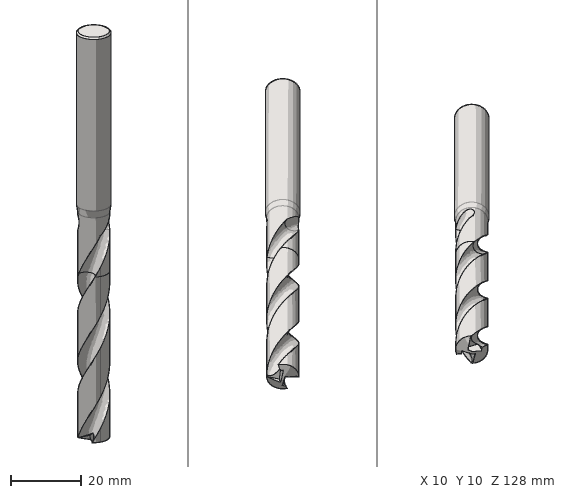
import cadquery as cq
import math

TOTAL_LENGTH = 128.0
SHANK_DIAMETER = 10.0
DRILL_DIAMETER = 9.2
SHANK_CHAMFER = 0.5
SHANK_BOTTOM_Z = 74.1
TAPER_BOTTOM_Z = 71.8
JOINT_Z = 53.4
HELIX_TOP_Z = 66.0
POINT_HEIGHT = 1.8

FLUTE_COUNT = 2
HELIX_ANGLE = 30.0
FLUTE_WIDTH_ANGLE = 70.0
JOINT_FLUTE_ANGLE = -56.0
WEB_RADIUS = 1.7
RUNOUT_OUTWARD_SLOPE = 0.3
RUNOUT_SIDEWAYS_SLOPE = 0.9
RUNOUT_LENGTH = 10.2

GASH_APEX_X = 1.7
GASH_APEX_Z = 3.7
GASH_LEFT_X = -1.2
GASH_RIGHT_X = 2.7
GASH_FLOOR_BOTTOM_Y = -0.4
GASH_FLOOR_TOP_Y = -1.0

shank_radius = SHANK_DIAMETER / 2
drill_radius = DRILL_DIAMETER / 2
helix_lead = math.pi * DRILL_DIAMETER / math.tan(math.radians(HELIX_ANGLE))

edge_distance = drill_radius * math.cos(math.radians(FLUTE_WIDTH_ANGLE / 2))
half_chord = drill_radius * math.sin(math.radians(FLUTE_WIDTH_ANGLE / 2))
floor_depth = edge_distance - WEB_RADIUS
flute_radius = (floor_depth**2 + half_chord**2) / (2 * floor_depth)
flute_center = WEB_RADIUS + flute_radius


def helix_turn(height):
    """Degrees that a flute turns over a height."""
    return 360 * height / helix_lead


def around_axis(shape):
    """One copy of a cutter for each flute."""
    return [shape.rotate((0, 0, 0), (0, 0, 1), 360 * i / FLUTE_COUNT) for i in range(FLUTE_COUNT)]


def helical_flute():
    """Round-bottomed cutter that follows the helix from the point to the runout."""
    bottom_angle = JOINT_FLUTE_ANGLE - helix_turn(JOINT_Z)
    return (
        cq.Workplane("XY")
        .center(flute_center, 0)
        .circle(flute_radius)
        .center(-flute_center, 0)
        .twistExtrude(HELIX_TOP_Z, helix_turn(HELIX_TOP_Z))
        .rotate((0, 0, 0), (0, 0, 1), bottom_angle)
    )


def flute_runout():
    """The flute carried straight on while it climbs outward until it leaves the drill."""
    top_angle = JOINT_FLUTE_ANGLE + helix_turn(HELIX_TOP_Z - JOINT_Z)
    profile = cq.Wire.makeCircle(flute_radius, cq.Vector(flute_center, 0, HELIX_TOP_Z), cq.Vector(0, 0, 1))
    travel = cq.Vector(RUNOUT_OUTWARD_SLOPE, RUNOUT_SIDEWAYS_SLOPE, 1) * RUNOUT_LENGTH
    runout = cq.Solid.extrudeLinear(profile, [], travel)
    return cq.Workplane(runout).rotate((0, 0, 0), (0, 0, 1), top_angle)


def point_gash():
    """Pointed notch with a floor that leans outward from the chisel edge."""
    outline = (
        cq.Workplane("XZ")
        .moveTo(GASH_LEFT_X, 0)
        .lineTo(GASH_LEFT_X, POINT_HEIGHT)
        .lineTo(GASH_APEX_X, GASH_APEX_Z)
        .lineTo(GASH_RIGHT_X, POINT_HEIGHT)
        .lineTo(GASH_RIGHT_X, 0)
        .close()
        .extrude(shank_radius)
    )
    floor = (
        cq.Workplane("YZ")
        .moveTo(GASH_FLOOR_BOTTOM_Y, 0)
        .lineTo(GASH_FLOOR_TOP_Y, GASH_APEX_Z)
        .lineTo(-shank_radius, GASH_APEX_Z)
        .lineTo(-shank_radius, 0)
        .close()
        .extrude(shank_radius, both=True)
    )
    return outline.intersect(floor)


def cut_flutes(blank):
    for cutter in around_axis(helical_flute()) + around_axis(flute_runout()):
        blank = blank.cut(cutter)
    return blank


def make_shank():
    blank = (
        cq.Workplane("XZ")
        .moveTo(0, JOINT_Z)
        .lineTo(drill_radius, JOINT_Z)
        .lineTo(drill_radius, TAPER_BOTTOM_Z)
        .lineTo(shank_radius, SHANK_BOTTOM_Z)
        .lineTo(shank_radius, TOTAL_LENGTH - SHANK_CHAMFER)
        .lineTo(shank_radius - SHANK_CHAMFER, TOTAL_LENGTH)
        .lineTo(0, TOTAL_LENGTH)
        .close()
        .revolve(360, (0, 0, 0), (0, 1, 0))
    )
    return cut_flutes(blank)


def make_cutting_head():
    head = (
        cq.Workplane("XZ")
        .lineTo(drill_radius, POINT_HEIGHT)
        .lineTo(drill_radius, JOINT_Z)
        .lineTo(0, JOINT_Z)
        .close()
        .revolve(360, (0, 0, 0), (0, 1, 0))
    )
    head = cut_flutes(head)
    for gash in around_axis(point_gash()):
        head = head.cut(gash)
    return head


shank = make_shank()
cutting_head = make_cutting_head()
result = cq.Compound.makeCompound([shank.val(), cutting_head.val()])